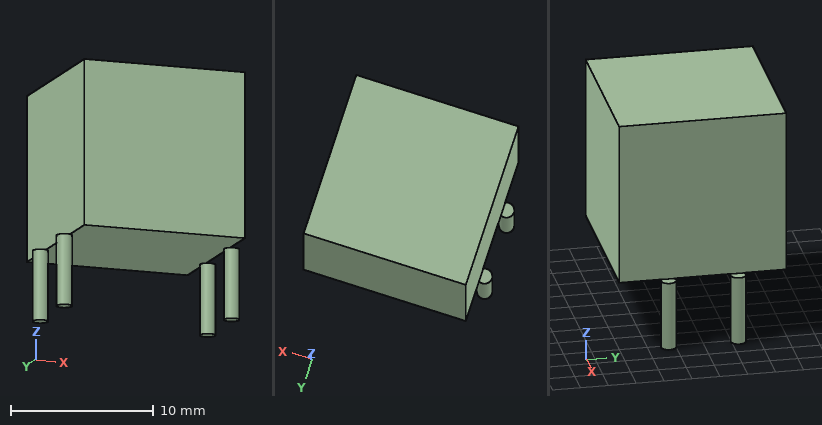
import cadquery as cq

housing_side = 12.0

pin_diameter = 1.1
pin_length = 5.1
pin_spacing_x = 12.5
pin_spacing_y = 5.0


def make_housing():
    """Plain cube centred on the Z axis with its underside at Z = 0."""
    return cq.Workplane("XY").box(
        housing_side, housing_side, housing_side, centered=(True, True, False)
    )


def make_pin(x, y):
    """Straight round pin whose flat top lies in the plane of the housing's underside."""
    return cq.Workplane("XY").center(x, y).circle(pin_diameter / 2).extrude(-pin_length)


housing = make_housing()

pins = []
for x in (-pin_spacing_x / 2, pin_spacing_x / 2):
    for y in (-pin_spacing_y / 2, pin_spacing_y / 2):
        pins.append(make_pin(x, y).val())

result = cq.Compound.makeCompound([housing.val(), *pins])